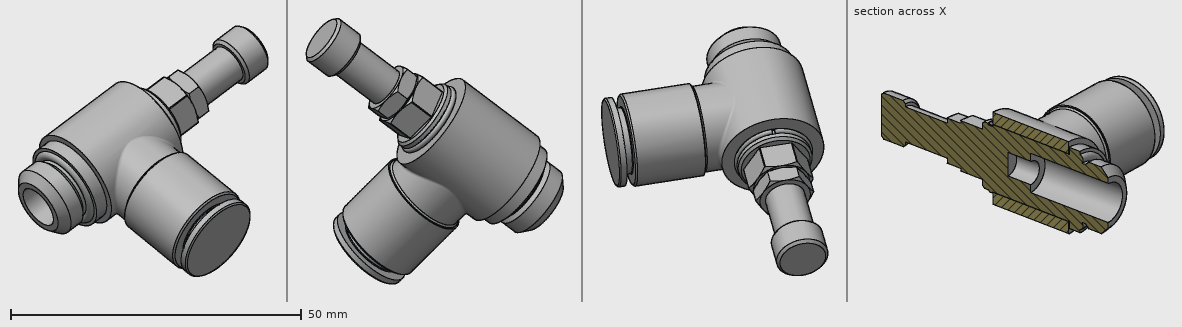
import cadquery as cq
import math


OVERALL_WIDTH = 35.8

SLEEVE_DIAMETER = 18.0
SLEEVE_RADIUS = SLEEVE_DIAMETER / 2
SLEEVE_LENGTH = 17.1
SLEEVE_TOP = SLEEVE_LENGTH / 2
SLEEVE_BOTTOM = -SLEEVE_LENGTH / 2

BRANCH_RADIUS = 7.5
BRANCH_FILLET = 0.5
SOCKET_RADIUS = 8.05
SOCKET_START = 11.75
SOCKET_END = 24.05
SOCKET_CHAMFER = 0.3
SHOULDER_CONE = 0.3
SHOULDER_LAND = 0.1
SHOULDER_START = SOCKET_START - SHOULDER_LAND - SHOULDER_CONE
COLLAR_NECK_RADIUS = 5.75
COLLAR_NECK_BEVEL = 0.15
COLLAR_RADIUS = SOCKET_RADIUS - SOCKET_CHAMFER
COLLAR_START = 25.5
COLLAR_END = OVERALL_WIDTH - SLEEVE_RADIUS
COLLAR_CHAMFER = 0.25

SHANK_RADIUS = 6.55
STEM_LENGTH = 51.0
STEM_BOTTOM = -17.4
STEM_TOP = STEM_BOTTOM + STEM_LENGTH
TIP_CHAMFER = 1.6
THREAD_TOP = -12.95
UNDERCUT_RADIUS = 5.8
THREAD_CHAMFER = SHANK_RADIUS - UNDERCUT_RADIUS
FLANGE_RADIUS = 7.95
FLANGE_GAP = 0.1
FLANGE_TOP = SLEEVE_BOTTOM - FLANGE_GAP
FLANGE_BOTTOM = -11.05
BORE_RADIUS = 3.8
BORE_END = 0.0
INNER_HOLE_RADIUS = 2.25
INNER_HOLE_DEPTH = 5.1

SEAL_RADIUS = 6.45
SEAL_WIRE_RADIUS = 0.9
SEAL_CENTRE = -10.85

SNAP_WIRE_RADIUS = 0.5
SNAP_OUTER_RADIUS = 6.9
SNAP_RADIUS = SNAP_OUTER_RADIUS - SNAP_WIRE_RADIUS
SNAP_CENTRE = SLEEVE_TOP + SNAP_WIRE_RADIUS
SNAP_GAP = 0.45
SNAP_GROOVE_RADIUS = 6.2

SHOULDER_BOTTOM = 9.65
SHOULDER_TOP = 10.9
SHOULDER_CHAMFER = 0.45
HEX_FLATS = 9.9
HEX_CORNER_RADIUS = 5.65
HEX_TOP = 15.8
NUT_FLATS = 8.9
NUT_TOP = 18.8
HEX_CHAMFER_ANGLE = 30
SPINDLE_RADIUS = 3.45
KNOB_RADIUS = 4.55
KNOB_BOTTOM = 28.15
KNOB_CHAMFER = 0.5


def cylinder_y(radius, start, end):
    """Solid cylinder on the Y axis."""
    return cq.Workplane("XZ", origin=(0, start, 0)).circle(radius).extrude(start - end)


def ring_y(radius, wire_radius, centre):
    """Torus round the Y axis."""
    wire = cq.Workplane("XY").center(radius, centre).circle(wire_radius)
    return wire.revolve(360, (-radius, 0), (-radius, 1))


def hexagon_y(flats, start, end):
    """Hexagonal prism on the Y axis with two of its flats facing +Z and -Z."""
    across_corners = flats / math.cos(math.pi / 6)
    return cq.Workplane("XZ", origin=(0, start, 0)).polygon(6, across_corners).extrude(start - end)


def corner_cone(flats, face, direction):
    """Cone that bevels hexagon corners at a face; it widens away from that face.

    The face looks along +Y for direction 1 and along -Y for direction -1.
    """
    face_radius = flats / 2
    base_radius = flats
    base = face - direction * flats
    drop = (base_radius - face_radius) * math.tan(math.radians(HEX_CHAMFER_ANGLE))
    profile = [
        (0, face),
        (face_radius, face),
        (base_radius, face - direction * drop),
        (base_radius, base),
        (0, base),
    ]
    return cq.Workplane("XY").polyline(profile).close().revolve(360, (0, 0), (0, 1))


def make_elbow():
    """Sleeve and branch, bored for the stem's shank."""
    sleeve = cylinder_y(SLEEVE_RADIUS, SLEEVE_BOTTOM, SLEEVE_TOP)
    branch = cq.Workplane("YZ").circle(BRANCH_RADIUS).extrude(SOCKET_START)
    joint_box = cq.selectors.BoxSelector(
        (SLEEVE_RADIUS / 2, SLEEVE_BOTTOM, -SLEEVE_RADIUS),
        (SLEEVE_RADIUS, SLEEVE_TOP, SLEEVE_RADIUS),
    )
    elbow = sleeve.union(branch).edges(joint_box).fillet(BRANCH_FILLET)

    outline = [
        (SHOULDER_START, 0),
        (SHOULDER_START, BRANCH_RADIUS),
        (SHOULDER_START + SHOULDER_CONE, BRANCH_RADIUS + SHOULDER_CONE),
        (SOCKET_START, BRANCH_RADIUS + SHOULDER_CONE),
        (SOCKET_START, SOCKET_RADIUS),
        (SOCKET_END - SOCKET_CHAMFER, SOCKET_RADIUS),
        (SOCKET_END, SOCKET_RADIUS - SOCKET_CHAMFER),
        (SOCKET_END, COLLAR_NECK_RADIUS + COLLAR_NECK_BEVEL),
        (SOCKET_END + COLLAR_NECK_BEVEL, COLLAR_NECK_RADIUS),
        (COLLAR_START - COLLAR_NECK_BEVEL, COLLAR_NECK_RADIUS),
        (COLLAR_START, COLLAR_NECK_RADIUS + COLLAR_NECK_BEVEL),
        (COLLAR_START, COLLAR_RADIUS),
        (COLLAR_END - COLLAR_CHAMFER, COLLAR_RADIUS),
        (COLLAR_END, COLLAR_RADIUS - COLLAR_CHAMFER),
        (COLLAR_END, 0),
    ]
    socket = cq.Workplane("XY").polyline(outline).close().revolve(360, (0, 0), (1, 0))
    return elbow.union(socket).cut(cylinder_y(SHANK_RADIUS, SLEEVE_BOTTOM, SLEEVE_TOP))


def make_turned_stem():
    """Revolved core of the stem from the threaded tip to the top of the knob."""
    outline = [
        (0, STEM_BOTTOM),
        (SHANK_RADIUS - TIP_CHAMFER, STEM_BOTTOM),
        (SHANK_RADIUS, STEM_BOTTOM + TIP_CHAMFER),
        (SHANK_RADIUS, THREAD_TOP),
        (UNDERCUT_RADIUS, THREAD_TOP + THREAD_CHAMFER),
        (UNDERCUT_RADIUS, FLANGE_BOTTOM),
        (FLANGE_RADIUS, FLANGE_BOTTOM),
        (FLANGE_RADIUS, FLANGE_TOP),
        (SHANK_RADIUS, FLANGE_TOP),
        (SHANK_RADIUS, SLEEVE_TOP),
        (SNAP_GROOVE_RADIUS, SLEEVE_TOP),
        (SNAP_GROOVE_RADIUS, SHOULDER_BOTTOM),
        (SHANK_RADIUS, SHOULDER_BOTTOM),
        (SHANK_RADIUS, SHOULDER_TOP - SHOULDER_CHAMFER),
        (SHANK_RADIUS - SHOULDER_CHAMFER, SHOULDER_TOP),
        (SPINDLE_RADIUS, SHOULDER_TOP),
        (SPINDLE_RADIUS, KNOB_BOTTOM),
        (KNOB_RADIUS - KNOB_CHAMFER, KNOB_BOTTOM),
        (KNOB_RADIUS, KNOB_BOTTOM + KNOB_CHAMFER),
        (KNOB_RADIUS, STEM_TOP - KNOB_CHAMFER),
        (KNOB_RADIUS - KNOB_CHAMFER, STEM_TOP),
        (0, STEM_TOP),
    ]
    return cq.Workplane("XY").polyline(outline).close().revolve(360, (0, 0), (0, 1))


def make_snap_ring():
    """Torus with a gap at +Z."""
    gap = cq.Workplane("XY").box(SNAP_GAP, 4 * SNAP_WIRE_RADIUS, 2 * SNAP_RADIUS)
    gap = gap.translate((0, SNAP_CENTRE, SNAP_RADIUS))
    return ring_y(SNAP_RADIUS, SNAP_WIRE_RADIUS, SNAP_CENTRE).cut(gap)


def make_stem():
    """Turned core with its hexagons, seal and snap ring, bored from the threaded tip."""
    body_hex = hexagon_y(HEX_FLATS, SHOULDER_TOP, HEX_TOP)
    body_hex = body_hex.intersect(cylinder_y(HEX_CORNER_RADIUS, SHOULDER_TOP, HEX_TOP))
    body_hex = body_hex.intersect(corner_cone(HEX_FLATS, HEX_TOP, 1))

    lock_nut = hexagon_y(NUT_FLATS, HEX_TOP, NUT_TOP)
    lock_nut = lock_nut.intersect(corner_cone(NUT_FLATS, NUT_TOP, 1))
    lock_nut = lock_nut.intersect(corner_cone(NUT_FLATS, HEX_TOP, -1))

    seal = ring_y(SEAL_RADIUS, SEAL_WIRE_RADIUS, SEAL_CENTRE)
    stem = make_turned_stem().union(body_hex).union(lock_nut).union(seal).union(make_snap_ring())
    stem = stem.cut(cylinder_y(BORE_RADIUS, STEM_BOTTOM, BORE_END))
    return stem.cut(cylinder_y(INNER_HOLE_RADIUS, BORE_END, BORE_END + INNER_HOLE_DEPTH))


elbow = make_elbow()
stem = make_stem()

result = cq.Compound.makeCompound([*elbow.solids().vals(), *stem.solids().vals()])